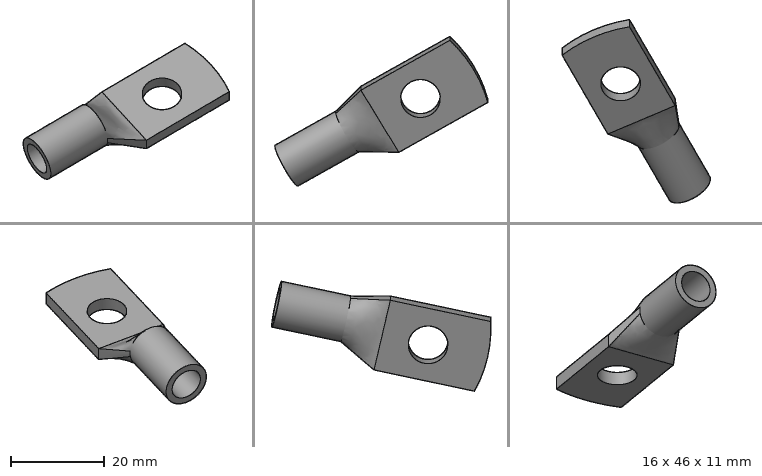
import cadquery as cq
import math

palm_width = 16.0
palm_length = 23.0
palm_thickness = 3.0
palm_end_radius = 30.0
stud_hole_diameter = 8.4
stud_hole_to_end = 13.0

barrel_diameter = 10.0
bore_diameter = 7.0
barrel_length = 15.0
barrel_lift = 1.0

neck_length = 8.0
side_top_height = 0.65
side_bottom_drop = 0.85
neck_spans = 4
edge_spans = 8

half_width = palm_width / 2
barrel_radius = barrel_diameter / 2
barrel_axis_z = barrel_lift + barrel_radius
barrel_inner_y = -neck_length
barrel_mouth_y = barrel_inner_y - barrel_length


def make_palm():
    """Flat plate with a bowed end and a stud hole."""
    bow = palm_end_radius - math.sqrt(palm_end_radius**2 - half_width**2)
    shoulder_y = palm_length - bow
    return (
        cq.Workplane("XY")
        .moveTo(-half_width, 0)
        .lineTo(half_width, 0)
        .lineTo(half_width, shoulder_y)
        .threePointArc((0, palm_length), (-half_width, shoulder_y))
        .close()
        .moveTo(0, palm_length - stud_hole_to_end)
        .circle(stud_hole_diameter / 2)
        .extrude(palm_thickness)
    )


def make_barrel():
    """Round tube open at the mouth and closed by the neck."""
    mouth_plane = cq.Plane((0, barrel_mouth_y, barrel_axis_z), (1, 0, 0), (0, 1, 0))
    return (
        cq.Workplane(mouth_plane)
        .circle(barrel_radius)
        .circle(bore_diameter / 2)
        .extrude(barrel_length)
    )


def lerp(start, end, share):
    """Value the given share of the way from start to end."""
    return start + (end - start) * share


def neck_point(palm_point, barrel_angle, run, dip_weight=0.0):
    """Point at a share of the neck's length on the strand from the palm to the barrel.

    A dip weight of 0 gives a straight strand; 1 gives one that leaves the palm level.
    The barrel angle is measured from +X toward +Z.
    """
    palm_x, palm_z = palm_point
    barrel_x = barrel_radius * math.cos(barrel_angle)
    barrel_z = barrel_axis_z + barrel_radius * math.sin(barrel_angle)
    dip = dip_weight * (barrel_z - palm_z) * run * (1 - run) ** 2
    return cq.Vector(
        lerp(palm_x, barrel_x, run),
        -neck_length * run,
        lerp(palm_z, barrel_z, run) - dip,
    )


def neck_side(palm_start, palm_end, angle_start, angle_end, run, middle_dip=0.0):
    """One edge of a neck section, blended from a palm edge to an arc of the barrel."""

    def point_at(share):
        palm_point = (
            lerp(palm_start[0], palm_end[0], share),
            lerp(palm_start[1], palm_end[1], share),
        )
        dip_weight = middle_dip * (1 - (2 * share - 1) ** 2)
        return neck_point(palm_point, lerp(angle_start, angle_end, share), run, dip_weight)

    if run == 0:
        return cq.Edge.makeLine(point_at(0), point_at(1))
    if run == 1:
        return cq.Edge.makeThreePointArc(point_at(0), point_at(0.5), point_at(1))
    return cq.Edge.makeSpline([point_at(step / edge_spans) for step in range(edge_spans + 1)])


def neck_section(run):
    """Closed four-edge outline of the neck at a share of its length."""
    upper = math.asin(side_top_height / barrel_radius)
    lower = -math.asin(side_bottom_drop / barrel_radius)
    bottom_right = (half_width, 0.0)
    top_right = (half_width, palm_thickness)
    top_left = (-half_width, palm_thickness)
    bottom_left = (-half_width, 0.0)
    return cq.Wire.assembleEdges([
        neck_side(bottom_right, top_right, lower, upper, run),
        neck_side(top_right, top_left, upper, math.pi - upper, run, middle_dip=1.0),
        neck_side(top_left, bottom_left, math.pi - upper, math.pi - lower, run),
        neck_side(bottom_left, bottom_right, math.pi - lower, 2 * math.pi + lower, run),
    ])


def make_neck():
    """Solid with a swept-up top, straight-ruled sides and a ruled underside."""
    sections = [neck_section(index / neck_spans) for index in range(neck_spans + 1)]
    return cq.Workplane(cq.Solid.makeLoft(sections))


result = make_palm().union(make_neck()).union(make_barrel()).solids()